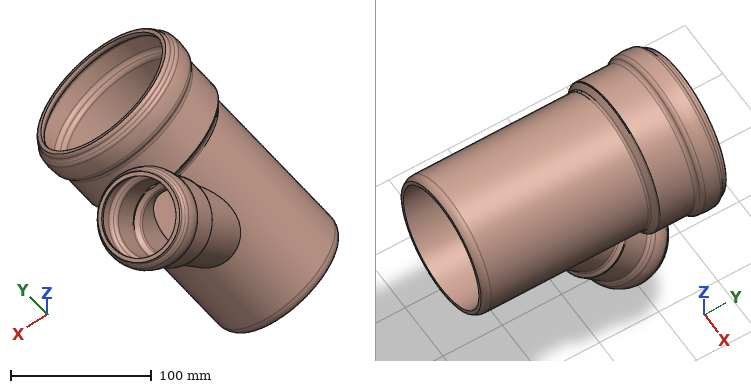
import cadquery as cq
import math

LENGTH = 203.2
PIPE_R = 110.7 / 2
PIPE_BORE_R = 99.8 / 2
SPIGOT_END_R = 52.8
SPIGOT_ROUNDING = 7.0

BRANCH_ANGLE = 45.0
BRANCH_ORIGIN_Y = 49.5
BRANCH_LENGTH = 157.7
BRANCH_R = 58.7 / 2
BRANCH_BORE_R = 50.2 / 2

SHOULDER_ANGLE = math.radians(45)
CORNER_LENGTH = 0.8
BLEND_LENGTH = 2.0

MAIN_SOCKET = {
    "mouth_r": 58.5,
    "outer_r": 121.0 / 2,
    "bead_edge_r": 63.8,
    "bead_r": 64.5,
    "bore_r": 111.0 / 2,
    "groove_r": 120.5 / 2,
    "lip": 2.8,
    "bead_start": 8.1,
    "bead_end": 21.0,
    "bead_foot": 28.2,
    "shoulder_start": 57.0,
}
BRANCH_SOCKET = {
    "mouth_r": 32.5,
    "outer_r": 66.5 / 2,
    "bead_edge_r": 36.2,
    "bead_r": 37.4,
    "bore_r": 59.0 / 2,
    "groove_r": 67.9 / 2,
    "lip": 1.8,
    "bead_start": 7.1,
    "bead_end": 20.3,
    "bead_foot": 26.8,
    "shoulder_start": 50.5,
}


def revolve_about_y(profile):
    return profile.close().revolve(360, (0, 0, 0), (0, 1, 0))


def axial_arc_middle(tangent_end, other_end):
    """Middle of the arc between two (radius, Y) points that runs parallel to Y at tangent_end."""
    rise = other_end[0] - tangent_end[0]
    run = other_end[1] - tangent_end[1]
    half_angle = math.atan(rise / run)
    middle_run = run / (2 * math.cos(half_angle))
    middle_rise = middle_run * math.tan(half_angle / 2)
    return tangent_end[0] + middle_rise, tangent_end[1] + middle_run


def arc_leaving_axial(profile, start, end):
    return profile.threePointArc(axial_arc_middle(start, end), end)


def arc_arriving_axial(profile, start, end):
    return profile.threePointArc(axial_arc_middle(end, start), end)


def s_curve(profile, start, end):
    """Two equal arcs that leave start and reach end parallel to Y."""
    middle = ((start[0] + end[0]) / 2, (start[1] + end[1]) / 2)
    profile = arc_leaving_axial(profile, start, middle)
    return arc_arriving_axial(profile, middle, end)


def shoulder(profile, start, end_r):
    """Rounded 45 degree step from start down to the pipe radius end_r."""
    corner_drop = CORNER_LENGTH * math.tan(SHOULDER_ANGLE / 2)
    blend_drop = BLEND_LENGTH * math.tan(SHOULDER_ANGLE / 2)
    corner = (start[0] - corner_drop, start[1] - CORNER_LENGTH)
    blend_r = end_r + blend_drop
    blend = (blend_r, corner[1] - (corner[0] - blend_r) / math.tan(SHOULDER_ANGLE))
    profile = arc_leaving_axial(profile, start, corner).lineTo(*blend)
    return arc_arriving_axial(profile, blend, (end_r, blend[1] - BLEND_LENGTH))


def socket_outside(s, pipe_r, length, spigot=False):
    """Solid socket and pipe, with the mouth at Y = 0 and the pipe running toward -Y.

    A spigot has its outer edge rounded at the far end.
    """
    mouth = (s["mouth_r"], 0)
    lip = (s["outer_r"], -s["lip"])
    bead_start = (s["bead_edge_r"], -s["bead_start"])
    bead_middle = (s["bead_r"], -(s["bead_start"] + s["bead_end"]) / 2)
    bead_end = (s["bead_edge_r"], -s["bead_end"])
    bead_foot = (s["outer_r"], -s["bead_foot"])
    shoulder_start = (s["outer_r"], -s["shoulder_start"])

    profile = cq.Workplane("XY").lineTo(*mouth)
    profile = arc_arriving_axial(profile, mouth, lip)
    profile = s_curve(profile, lip, bead_start).threePointArc(bead_middle, bead_end)
    profile = s_curve(profile, bead_end, bead_foot).lineTo(*shoulder_start)
    profile = shoulder(profile, shoulder_start, pipe_r)
    if spigot:
        rounding_start = (pipe_r, SPIGOT_ROUNDING - length)
        profile = profile.lineTo(*rounding_start)
        profile = arc_leaving_axial(profile, rounding_start, (SPIGOT_END_R, -length))
    else:
        profile = profile.lineTo(pipe_r, -length)
    return revolve_about_y(profile.lineTo(0, -length))


def socket_inside(s, pipe_bore_r, length):
    """Space inside the socket and pipe, including the seal groove under the bead."""
    lip = (s["bore_r"], -s["lip"])
    groove_start = (s["groove_r"], -s["bead_start"])
    groove_end = (s["groove_r"], -s["bead_end"])
    groove_foot = (s["bore_r"], -s["bead_foot"])
    shoulder_start = (s["bore_r"], -s["shoulder_start"])

    profile = cq.Workplane("XY").lineTo(s["bore_r"], 0).lineTo(*lip)
    profile = s_curve(profile, lip, groove_start).lineTo(*groove_end)
    profile = s_curve(profile, groove_end, groove_foot).lineTo(*shoulder_start)
    profile = shoulder(profile, shoulder_start, pipe_bore_r)
    return revolve_about_y(profile.lineTo(pipe_bore_r, -length).lineTo(0, -length))


def place_main(body):
    return body.translate((0, LENGTH, 0))


def place_branch(body):
    angle = math.radians(BRANCH_ANGLE)
    mouth_y = BRANCH_ORIGIN_Y + BRANCH_LENGTH * math.cos(angle)
    mouth_z = -BRANCH_LENGTH * math.sin(angle)
    return body.rotate((0, 0, 0), (1, 0, 0), -BRANCH_ANGLE).translate((0, mouth_y, mouth_z))


main_outside = place_main(socket_outside(MAIN_SOCKET, PIPE_R, LENGTH, spigot=True))
main_inside = place_main(socket_inside(MAIN_SOCKET, PIPE_BORE_R, LENGTH))

branch_outside = place_branch(socket_outside(BRANCH_SOCKET, BRANCH_R, BRANCH_LENGTH))
branch_inside = place_branch(socket_inside(BRANCH_SOCKET, BRANCH_BORE_R, BRANCH_LENGTH))

result = main_outside.union(branch_outside).cut(main_inside).cut(branch_inside)